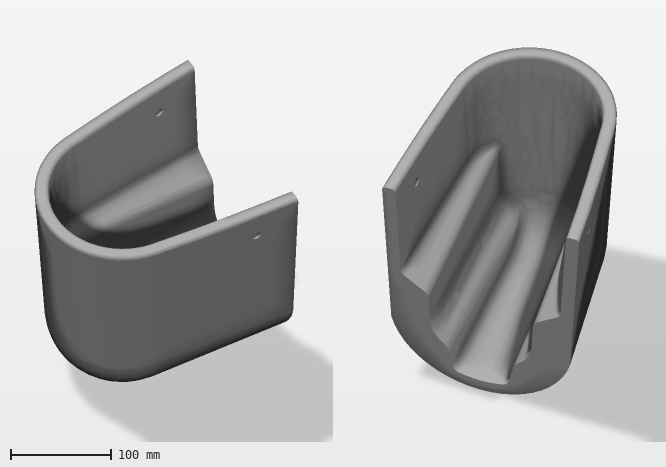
import cadquery as cq
import math

TOP_Z = 270.0
BREAK_Z = 75.0
WALL = 14.0
TOP_HALF_WIDTH = 105.0
TOP_NOSE_RADIUS = 88.0
WALL_LEAN = 10.0
NOSE_Y = -142.0
NOSE_JOINT_ANGLE = math.radians(8.5)
BOTTOM_SLOPE = 0.05
NOSE_FULLNESS = 0.62
RIM_FILLET = 4.0

HOLE_DIAMETER = 10.0
HOLE_Y = -45.5
HOLE_Z = 235.0

SHELF_X = 80.0
SHELF_Z = 142.0
SHELF_ANGLE = math.atan(0.75)
SHELF_RISE = 0.161
CHANNEL_TAPER = 0.0455
TROUGH_X = 14.0
TROUGH_Z = 87.0
TROUGH_RADIUS = 40.0
TROUGH_WALL_LEAN = math.radians(3)
TROUGH_END_ANGLE = math.radians(48)
SLOT_WALL_LEAN = math.radians(11)
SHELF_LIP_RADIUS = 12.0
SLOT_LIP_RADIUS = 22.0
CHANNEL_FILLET = 9.0

CHANNEL_HALF_WIDTH = 115.0
CHANNEL_TOP_Z = 290.0
CHANNEL_FRONT_Y = -235.0


def polar(center, radius, angle):
    """Point at a distance and direction from a centre."""
    return (center[0] + radius * math.cos(angle), center[1] + radius * math.sin(angle))


def nose_joint_angle(half_width, radius):
    """Angle past the nose axis where a straight side from the back touches the front arc."""
    reach = math.hypot(half_width, NOSE_Y)
    return math.acos(radius / reach) - math.atan2(-NOSE_Y, half_width)


def side_arc_middle(half_width, joint, joint_angle):
    """Middle of the bowed side that leaves the front arc tangentially and ends at the back."""
    run = half_width - joint[0]
    length = math.hypot(run, joint[1])
    chord_angle = math.atan2(run, -joint[1])
    bow = length / 2 * math.tan((joint_angle - chord_angle) / 2)
    middle_x = joint[0] + run / 2 + bow * math.cos(chord_angle)
    middle_y = joint[1] / 2 - bow * math.sin(chord_angle)
    return (middle_x, middle_y)


def rim_outline(half_width, radius):
    """Plan outline at the rim: bowed sides running tangent into a round front."""
    joint = polar((0, NOSE_Y), radius, -NOSE_JOINT_ANGLE)
    middle = side_arc_middle(half_width, joint, NOSE_JOINT_ANGLE)
    outline = (
        cq.Workplane("XY", origin=(0, 0, TOP_Z))
        .moveTo(half_width, 0)
        .threePointArc(middle, joint)
        .threePointArc((0, NOSE_Y - radius), (-joint[0], joint[1]))
        .threePointArc((-middle[0], middle[1]), (-half_width, 0))
        .close()
    )
    return outline.val()


def break_outline(half_width, radius):
    """Plan outline at BREAK_Z: straight sides tangent to a round front."""
    joint = polar((0, NOSE_Y), radius, -nose_joint_angle(half_width, radius))
    outline = (
        cq.Workplane("XY", origin=(0, 0, BREAK_Z))
        .moveTo(half_width, 0)
        .lineTo(*joint)
        .threePointArc((0, NOSE_Y - radius), (-joint[0], joint[1]))
        .lineTo(-half_width, 0)
        .close()
    )
    return outline.val()


def nose_profile(radius, bottom_z):
    """Half section of the rounded front in XZ, from its axis out to the wall."""
    wall_slope = WALL_LEAN / (TOP_Z - BREAK_Z)
    height = BREAK_Z - bottom_z
    corner_x = (radius - wall_slope * height) / (1 - wall_slope * BOTTOM_SLOPE)
    corner_z = bottom_z + BOTTOM_SLOPE * corner_x
    bottom_handle = (NOSE_FULLNESS * corner_x, bottom_z + NOSE_FULLNESS * (corner_z - bottom_z))
    wall_handle = (
        radius + NOSE_FULLNESS * (corner_x - radius),
        BREAK_Z + NOSE_FULLNESS * (corner_z - BREAK_Z),
    )
    return (
        cq.Workplane("XZ")
        .moveTo(0, BREAK_Z)
        .lineTo(0, bottom_z)
        .bezier([bottom_handle, wall_handle, (radius, BREAK_Z)], includeCurrent=True)
        .close()
    )


def at_nose_joint(shape, joint_angle):
    """Turn a shape to the plane where the nose ends and move it onto the nose axis."""
    turned = shape.rotate((0, 0, 0), (0, 0, 1), -math.degrees(joint_angle))
    return turned.translate((0, NOSE_Y, 0))


def nose(radius, bottom_z, joint_angle):
    """Rounded front below BREAK_Z: the half section swept around the nose axis."""
    sweep = 180 - 2 * math.degrees(joint_angle)
    sector = nose_profile(radius, bottom_z).revolve(sweep, (0, 0, 0), (0, -1, 0))
    return at_nose_joint(sector, joint_angle)


def half_bottom(half_width, radius, bottom_z, nose_bottom_z, joint_angle):
    """Right half of the bottom behind the nose: from the round back section to the nose section."""
    arc_radius = (half_width**2 + (BREAK_Z - bottom_z) ** 2) / (2 * (BREAK_Z - bottom_z))
    half_angle = math.asin(half_width / arc_radius) / 2
    middle = polar((0, bottom_z + arc_radius), arc_radius, half_angle - math.pi / 2)
    back = (
        cq.Workplane("XZ")
        .moveTo(0, BREAK_Z)
        .lineTo(0, bottom_z)
        .threePointArc(middle, (half_width, BREAK_Z))
        .close()
        .val()
    )
    front = at_nose_joint(nose_profile(radius, nose_bottom_z).val(), joint_angle)
    return cq.Workplane(cq.Solid.makeLoft([back, front], True))


def shell_body(inset):
    """Solid bounded by the shell surface moved inward by an inset."""
    top_half_width = TOP_HALF_WIDTH - inset
    top_radius = TOP_NOSE_RADIUS - inset
    half_width = top_half_width - WALL_LEAN
    radius = top_radius - WALL_LEAN
    nose_bottom_z = inset - BOTTOM_SLOPE * NOSE_Y
    joint_angle = nose_joint_angle(half_width, radius)

    outlines = [break_outline(half_width, radius), rim_outline(top_half_width, top_radius)]
    walls = cq.Workplane(cq.Solid.makeLoft(outlines, True))
    front = nose(radius, nose_bottom_z, joint_angle)
    right = half_bottom(half_width, radius, inset, nose_bottom_z, joint_angle)
    return walls.union(front).union(right).union(right.mirror("YZ"))


def channel_section(y):
    """Right half of the channel section at one depth."""
    trough = (TROUGH_X + CHANNEL_TAPER * y, TROUGH_Z)
    trough_top = polar(trough, TROUGH_RADIUS, -TROUGH_WALL_LEAN)
    trough_middle = polar(trough, TROUGH_RADIUS, -(TROUGH_WALL_LEAN + TROUGH_END_ANGLE) / 2)
    trough_end = polar(trough, TROUGH_RADIUS, -TROUGH_END_ANGLE)

    slot_lip = polar(trough, TROUGH_RADIUS + SLOT_LIP_RADIUS, -TROUGH_END_ANGLE)
    slot_lip_middle = polar(slot_lip, SLOT_LIP_RADIUS, math.pi - (TROUGH_END_ANGLE + SLOT_WALL_LEAN) / 2)
    slot_top = polar(slot_lip, SLOT_LIP_RADIUS, math.pi - SLOT_WALL_LEAN)
    slot_bottom_x = slot_top[0] - slot_top[1] * math.tan(SLOT_WALL_LEAN)

    shelf_slope = math.tan(SHELF_ANGLE)
    wall_slope = math.tan(TROUGH_WALL_LEAN)
    shelf_z = SHELF_Z - SHELF_RISE * y
    shelf_over_wall = shelf_z + shelf_slope * (trough_top[0] - SHELF_X) - trough_top[1]
    climb = shelf_over_wall / (1 - shelf_slope * wall_slope)
    corner = (trough_top[0] + climb * wall_slope, trough_top[1] + climb)

    turn = math.pi / 2 - TROUGH_WALL_LEAN - SHELF_ANGLE
    setback = SHELF_LIP_RADIUS * math.tan(turn / 2)
    lip_bottom = polar(corner, -setback, math.pi / 2 - TROUGH_WALL_LEAN)
    lip_top = polar(corner, setback, SHELF_ANGLE)
    lip = polar(lip_bottom, SHELF_LIP_RADIUS, -TROUGH_WALL_LEAN)
    lip_middle = polar(lip, SHELF_LIP_RADIUS, math.pi - TROUGH_WALL_LEAN - turn / 2)
    shelf_end_z = shelf_z + shelf_slope * (CHANNEL_HALF_WIDTH - SHELF_X)

    outline = (
        cq.Workplane("XZ", origin=(0, y, 0))
        .lineTo(slot_bottom_x, 0)
        .lineTo(*slot_top)
        .threePointArc(slot_lip_middle, trough_end)
        .threePointArc(trough_middle, trough_top)
        .lineTo(*lip_bottom)
        .threePointArc(lip_middle, lip_top)
        .lineTo(CHANNEL_HALF_WIDTH, shelf_end_z)
        .lineTo(CHANNEL_HALF_WIDTH, CHANNEL_TOP_Z)
        .lineTo(0, CHANNEL_TOP_Z)
        .close()
    )
    return outline.val()


def channel():
    """Whole channel: its half tapers evenly from the back to the front and is mirrored."""
    sections = [channel_section(0), channel_section(CHANNEL_FRONT_Y)]
    half = cq.Workplane(cq.Solid.makeLoft(sections, True))
    return half.union(half.mirror("YZ"))


def cavity():
    """Hollow of the shell, narrowed by the channel, with its corner line rounded on each side."""
    hollow = shell_body(WALL).intersect(channel())
    for side in (-1, 1):
        near_shelf_corner = cq.NearestToPointSelector((side * SHELF_X, NOSE_Y / 2, SHELF_Z))
        hollow = hollow.edges(near_shelf_corner).fillet(CHANNEL_FILLET)
    return hollow


def fixing_holes():
    """Cylinder along X that passes through both side walls."""
    return (
        cq.Workplane("YZ", origin=(-CHANNEL_HALF_WIDTH, HOLE_Y, HOLE_Z))
        .circle(HOLE_DIAMETER / 2)
        .extrude(2 * CHANNEL_HALF_WIDTH)
    )


def round_rim(body):
    """Round both long edges of the rim, leaving its two straight ends at the back sharp."""
    rim_edges = body.faces(">Z").edges().edges("not >Y")
    return body.newObject(rim_edges.vals()).fillet(RIM_FILLET)


shell = shell_body(0).cut(cavity())
result = round_rim(shell).cut(fixing_holes())